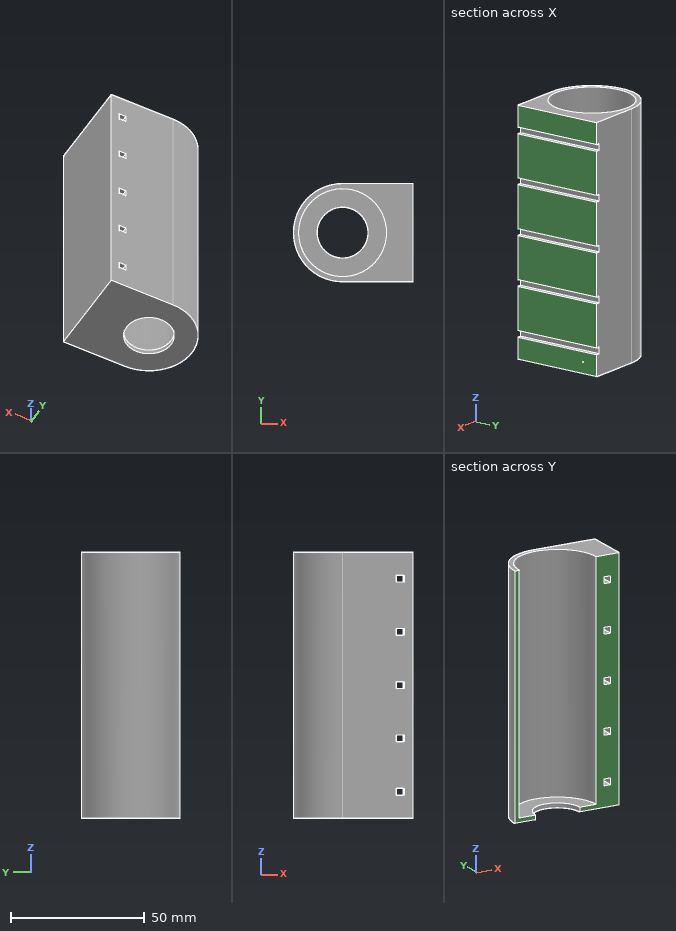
import cadquery as cq

height = 100.0
width = 37.0
length = 45.0
outer_radius = width / 2
block_length = length - outer_radius

bore_diameter = 33.0
floor_hole_diameter = 19.0
floor_thickness = (width - bore_diameter) / 2

slot_count = 5
slot_pitch = height / slot_count
slot_length = 3.0
slot_height = 2.5
slot_back_margin = 3.3
mouth_chamfer = 0.5


def make_body():
    """D-shaped column with the bore axis on Z."""
    return (
        cq.Workplane("XY")
        .moveTo(0, -outer_radius)
        .lineTo(block_length, -outer_radius)
        .lineTo(block_length, outer_radius)
        .lineTo(0, outer_radius)
        .threePointArc((-outer_radius, 0), (0, -outer_radius))
        .close()
        .extrude(height)
    )


def make_bore():
    """Wide bore above the floor and the narrower hole through it."""
    floor_hole = cq.Workplane("XY").circle(floor_hole_diameter / 2).extrude(height)
    wide_bore = (
        cq.Workplane("XY", origin=(0, 0, floor_thickness))
        .circle(bore_diameter / 2)
        .extrude(height - floor_thickness)
    )
    return wide_bore.union(floor_hole)


def make_slots():
    """Evenly spaced slots, half a pitch in from each end."""
    rear_x = block_length - slot_back_margin
    front_x = rear_x - slot_length
    inner_rear_x = rear_x - mouth_chamfer
    chamfer_y = outer_radius - mouth_chamfer
    slot_outline = [
        (front_x, -outer_radius),
        (rear_x, -outer_radius),
        (inner_rear_x, -chamfer_y),
        (inner_rear_x, chamfer_y),
        (rear_x, outer_radius),
        (front_x, outer_radius),
    ]
    slots = cq.Workplane("XY")
    for index in range(slot_count):
        slot_bottom = (index + 0.5) * slot_pitch - slot_height / 2
        slot = (
            cq.Workplane("XY", origin=(0, 0, slot_bottom))
            .polyline(slot_outline)
            .close()
            .extrude(slot_height)
        )
        slots = slots.add(slot)
    return slots.combine()


result = make_body().cut(make_bore()).cut(make_slots())